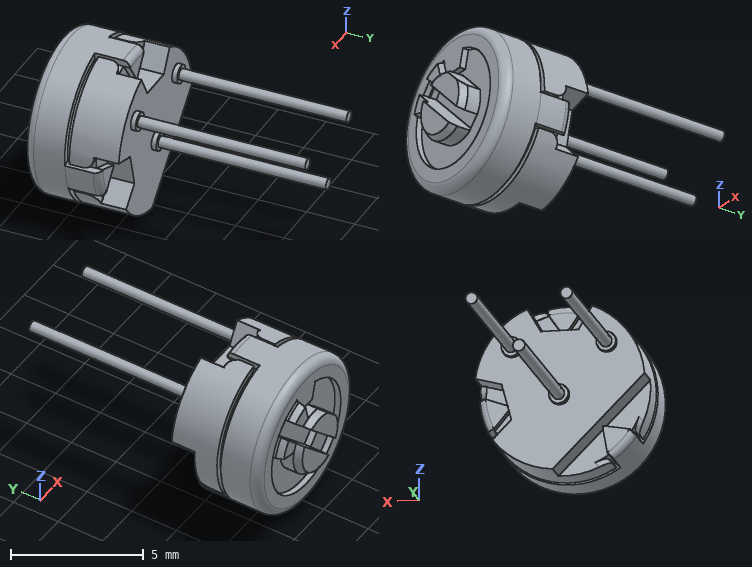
import cadquery as cq
import math


knob_front = -0.62
knob_shoulder = -0.33
pointer_edge = -0.06
slot_floor = 0.54
cap_rear = 1.69
base_front = 1.87
notch_front = 2.88
base_rear = 3.91
standoff_rear = 4.12
overall_length = 11.71
pin_end = knob_front + overall_length

cap_radius = 3.3
cap_wall = 0.26
cap_fillet = 0.39
opening_radius = 2.39
tongue_inner_z = 1.57
tongue_half_angle = 15

tab_angles = (90, 225, 345)
tab_width = 1.24
tab_bend_radius = 0.28
lip_taper_radius = 2.97
lip_tip_radius = 2.08

base_radius = 3.28
core_radius = cap_radius - cap_wall
relief_width = 1.45
relief_fillet = 0.47
notch_angles = (90, 345)
notch_depth_radius = 2.12
notch_floor_width = 1.45
notch_flank_angle = 60
base_flat_angle = 225

knob_radius = 1.39
knob_chamfer_radius = 1.22
knob_flat_distance = 1.16
knob_flat_angle = 45
pointer_angle = 135
pointer_half_angle = 30
pointer_radius = 2.28
pointer_top_radius = 2.12
driver_slot_width = 0.68
driver_slot_end = 1.33

pin_diameter = 0.46
standoff_diameter = 0.75
pin_spacing = 1.83
outer_pin_z = 1.55
middle_pin_z = -0.4

margin = 1.17


def prism(sketch_points, y_start, y_end):
    """Extrude a polygon of (x, z) points between two places on the axis."""
    plane = cq.Workplane("XZ", origin=(0, y_end, 0))
    return plane.polyline(sketch_points).close().extrude(y_end - y_start)


def disc(radius, y_start, y_end, x=0, z=0):
    """Cylinder along Y."""
    return cq.Workplane("XZ", origin=(x, y_end, z)).circle(radius).extrude(y_end - y_start)


def block(width, y_start, y_end, z_start, z_end):
    """Box centred on X."""
    corners = [(-width / 2, z_start), (width / 2, z_start), (width / 2, z_end), (-width / 2, z_end)]
    return prism(corners, y_start, y_end)


def turn_to(body, angle):
    """Turn a body that was drawn pointing up (+Z) to the given angle."""
    return body.rotate((0, 0, 0), (0, -1, 0), angle - 90)


def sector(half_angle, inner_z, reach, y_start, y_end):
    """Wedge with radial sides about +Z, cut off straight at inner_z."""
    spread = math.tan(math.radians(half_angle))
    points = [
        (-inner_z * spread, inner_z),
        (inner_z * spread, inner_z),
        (reach * spread, reach),
        (-reach * spread, reach),
    ]
    return prism(points, y_start, y_end)


def tapered_cylinder(radius, top_radius, y_front, y_shoulder, y_rear):
    """Cylinder along Y whose front end tapers from radius to top_radius."""
    profile = [(0, y_rear), (radius, y_rear), (radius, y_shoulder), (top_radius, y_front), (0, y_front)]
    return cq.Workplane("XY").polyline(profile).close().revolve(360, (0, 0, 0), (0, 1, 0))


def make_cap():
    cap = disc(cap_radius, 0, cap_rear).faces("<Y").edges().fillet(cap_fillet)
    opening = disc(opening_radius, 0, cap_wall)
    tongue = sector(tongue_half_angle, tongue_inner_z, cap_radius, 0, cap_wall)
    return cap.cut(opening.cut(tongue))


def make_tab():
    """Strip of the cap wall whose end is bent inwards as a lip that tapers to a point in the base."""
    lip_rear = notch_front + cap_wall
    half = tab_width / 2
    blank = disc(cap_radius, cap_rear, lip_rear).faces(">Y").edges().fillet(tab_bend_radius)
    wall = blank.intersect(block(tab_width, cap_rear, lip_rear, lip_taper_radius, cap_radius))
    lip_points = [(-half, lip_taper_radius), (0, lip_tip_radius), (half, lip_taper_radius)]
    return wall.union(prism(lip_points, notch_front, lip_rear))


def make_tab_relief():
    """Slot for a tab in the base wall, widening in a round towards the rear."""
    half = relief_width / 2
    round_start = notch_front - relief_fillet
    flare = half + relief_fillet
    bulge = relief_fillet * (1 - math.sqrt(0.5))
    outline = (
        cq.Workplane("XY", origin=(0, 0, notch_depth_radius))
        .moveTo(-half, base_front)
        .lineTo(half, base_front)
        .lineTo(half, round_start)
        .threePointArc((half + bulge, notch_front - bulge), (flare, notch_front))
        .lineTo(-flare, notch_front)
        .threePointArc((-half - bulge, notch_front - bulge), (-half, round_start))
        .close()
        .extrude(base_radius)
    )
    return outline.cut(disc(core_radius, base_front, notch_front))


def make_notch():
    """Flared notch in the rear of the base, behind a tab."""
    top_z = base_radius + margin
    rise = top_z - notch_depth_radius
    floor_half = notch_floor_width / 2
    top_half = floor_half + rise / math.tan(math.radians(notch_flank_angle))
    points = [
        (-floor_half, notch_depth_radius),
        (floor_half, notch_depth_radius),
        (top_half, top_z),
        (-top_half, top_z),
    ]
    return prism(points, notch_front, base_rear)


def make_base():
    base = disc(core_radius, cap_rear, base_front).union(disc(base_radius, base_front, base_rear))
    for angle in tab_angles:
        base = base.cut(turn_to(make_tab_relief(), angle))
    for angle in notch_angles:
        base = base.cut(turn_to(make_notch(), angle))
    flat = block(2 * base_radius, notch_front, base_rear, notch_depth_radius, base_radius + margin)
    return base.cut(turn_to(flat, base_flat_angle))


def make_rotor():
    knob = tapered_cylinder(knob_radius, knob_chamfer_radius, knob_front, knob_shoulder, cap_wall)
    flat = block(2 * knob_radius, knob_front, cap_wall, knob_flat_distance, knob_radius)
    knob = knob.cut(turn_to(flat, knob_flat_angle))
    pointer = tapered_cylinder(pointer_radius, pointer_top_radius, knob_shoulder, pointer_edge, cap_wall)
    wedge = sector(pointer_half_angle, knob_radius / 2, 2 * pointer_radius, knob_shoulder, cap_wall)
    return knob.union(pointer.intersect(turn_to(wedge, pointer_angle)))


def make_driver_slot():
    """Screwdriver slot along the pointer, open across the knob and sunk below the cap opening."""
    slot = block(driver_slot_width, knob_front, cap_wall, -knob_radius, pointer_radius)
    slot = slot.union(block(driver_slot_width, cap_wall, slot_floor, -driver_slot_end, pointer_radius))
    return turn_to(slot.intersect(disc(pointer_radius, knob_front, slot_floor)), pointer_angle)


def make_pin(x, z):
    standoff = disc(standoff_diameter / 2, base_rear, standoff_rear, x, z)
    return standoff.union(disc(pin_diameter / 2, base_rear, pin_end, x, z))


result = make_cap().union(make_base())
for tab_angle in tab_angles:
    result = result.union(turn_to(make_tab(), tab_angle))
result = result.union(make_rotor()).cut(make_driver_slot())
for pin_x, pin_z in ((-pin_spacing, outer_pin_z), (0, middle_pin_z), (pin_spacing, outer_pin_z)):
    result = result.union(make_pin(pin_x, pin_z))